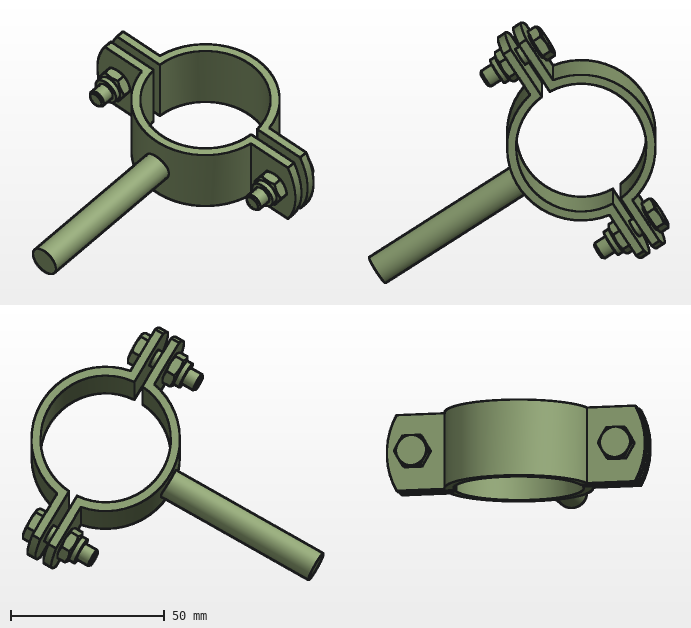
import cadquery as cq
import math

OVERALL_LENGTH = 103.2
CLAMP_WIDTH = 86.0
CLAMP_HEIGHT = 25.0

RING_OUTER_RADIUS = 24.1
STRAP_THICKNESS = 3.0
RING_INNER_RADIUS = RING_OUTER_RADIUS - STRAP_THICKNESS
EAR_GAP = 3.0
EAR_INNER_Y = EAR_GAP / 2
EAR_OUTER_Y = EAR_INNER_Y + STRAP_THICKNESS
EAR_TIP_X = CLAMP_WIDTH / 2
EAR_CORNER_X = 39.7

ROD_DIAMETER = 10.0
ROD_END_Y = RING_OUTER_RADIUS - OVERALL_LENGTH

BOLT_X = 34.0
BOLT_DIAMETER = 6.0
BOLT_TIP_DIAMETER = 5.0
BOLT_TIP_CHAMFER_LENGTH = 0.6
BOLT_PROTRUSION = 10.9
HEX_ACROSS_FLATS = 10.0
HEX_ACROSS_CORNERS = HEX_ACROSS_FLATS / math.cos(math.pi / 6)
HEAD_THICKNESS = 3.5
HEAD_WASHER_DIAMETER = 8.7
HEAD_WASHER_THICKNESS = 0.5

NUT_THICKNESS = 4.0
COLLAR_DIAMETER = 8.9
COLLAR_LENGTH = 2.0

CORNER_TRIM_DIAMETER = HEX_ACROSS_FLATS
CORNER_TRIM_ANGLE = 30.0


def rod_along_y(diameter, start_y, end_y):
    """Cylinder on the Y axis between two Y positions, start_y above end_y."""
    return (
        cq.Workplane("XZ", origin=(0, start_y, 0))
        .circle(diameter / 2)
        .extrude(start_y - end_y)
    )


def trim_corners(envelope, end_face, end_diameter):
    """Cone off one end of the round envelope that limits a hexagon."""
    radial_trim = (HEX_ACROSS_CORNERS - end_diameter) / 2
    axial_trim = radial_trim * math.tan(math.radians(CORNER_TRIM_ANGLE))
    return envelope.faces(end_face).chamfer(axial_trim, radial_trim)


def hexagon_along_y(start_y, end_y, lower_end_diameter=None):
    """Hexagonal prism on the Y axis, trimmed at its +Y end and optionally at its -Y end."""
    prism = (
        cq.Workplane("XZ", origin=(0, start_y, 0))
        .polygon(6, HEX_ACROSS_CORNERS)
        .extrude(start_y - end_y)
    )
    envelope = rod_along_y(HEX_ACROSS_CORNERS, start_y, end_y)
    envelope = trim_corners(envelope, ">Y", CORNER_TRIM_DIAMETER)
    if lower_end_diameter is not None:
        envelope = trim_corners(envelope, "<Y", lower_end_diameter)
    return prism.intersect(envelope)


def make_clamp_envelope():
    """Front outline of the clamp, with rounded ends and the two bolt holes."""
    half_height = CLAMP_HEIGHT / 2
    return (
        cq.Workplane("XZ", origin=(0, RING_OUTER_RADIUS, 0))
        .moveTo(-EAR_CORNER_X, -half_height)
        .lineTo(EAR_CORNER_X, -half_height)
        .threePointArc((EAR_TIP_X, 0), (EAR_CORNER_X, half_height))
        .lineTo(-EAR_CORNER_X, half_height)
        .threePointArc((-EAR_TIP_X, 0), (-EAR_CORNER_X, -half_height))
        .close()
        .pushPoints([(-BOLT_X, 0), (BOLT_X, 0)])
        .circle(BOLT_DIAMETER / 2)
        .extrude(RING_OUTER_RADIUS)
    )


def make_back_half():
    """Half ring with two ears, on the +Y side of the gap."""
    ear_strip = (
        cq.Workplane("XY")
        .box(CLAMP_WIDTH, STRAP_THICKNESS, CLAMP_HEIGHT)
        .translate((0, EAR_INNER_Y + STRAP_THICKNESS / 2, 0))
    )
    bottom = cq.Workplane("XY", origin=(0, 0, -CLAMP_HEIGHT / 2))
    disc = bottom.circle(RING_OUTER_RADIUS).extrude(CLAMP_HEIGHT)
    bore = bottom.circle(RING_INNER_RADIUS).extrude(CLAMP_HEIGHT)
    beyond_gap = (
        cq.Workplane("XY")
        .box(CLAMP_WIDTH, RING_OUTER_RADIUS, CLAMP_HEIGHT)
        .translate((0, EAR_INNER_Y + RING_OUTER_RADIUS / 2, 0))
    )
    half = disc.intersect(beyond_gap).union(ear_strip).cut(bore)
    return half.intersect(make_clamp_envelope())


def make_front_half(back):
    """Mirrored half clamp with the rod joined to the outside of its ring."""
    rod = rod_along_y(ROD_DIAMETER, -RING_INNER_RADIUS, ROD_END_Y)
    bore = cq.Workplane("XY").circle(RING_INNER_RADIUS).extrude(CLAMP_HEIGHT / 2, both=True)
    return back.mirror("XZ").union(rod.cut(bore))


def make_bolt(x):
    """Hex bolt with a thin washer face under its head and a chamfered tip."""
    head_base_y = EAR_OUTER_Y + HEAD_WASHER_THICKNESS
    shank = rod_along_y(BOLT_DIAMETER, head_base_y, -EAR_OUTER_Y - BOLT_PROTRUSION)
    tip_radial_chamfer = (BOLT_DIAMETER - BOLT_TIP_DIAMETER) / 2
    shank = shank.faces("<Y").chamfer(BOLT_TIP_CHAMFER_LENGTH, tip_radial_chamfer)
    washer_face = rod_along_y(HEAD_WASHER_DIAMETER, head_base_y, EAR_OUTER_Y)
    head = hexagon_along_y(head_base_y + HEAD_THICKNESS, head_base_y)
    return head.union(washer_face).union(shank).translate((x, 0, 0))


def make_nut(x):
    """Hex nut trimmed at both ends, with a collar and a bore that fits the bolt."""
    nut_end_y = -EAR_OUTER_Y - NUT_THICKNESS
    collar_end_y = nut_end_y - COLLAR_LENGTH
    hexagon = hexagon_along_y(-EAR_OUTER_Y, nut_end_y, COLLAR_DIAMETER)
    collar = rod_along_y(COLLAR_DIAMETER, nut_end_y, collar_end_y)
    bore = rod_along_y(BOLT_DIAMETER, -EAR_OUTER_Y, collar_end_y)
    return hexagon.union(collar).cut(bore).translate((x, 0, 0))


back_half = make_back_half()
front_half = make_front_half(back_half)

fasteners = []
for bolt_x in (-BOLT_X, BOLT_X):
    fasteners.append(make_bolt(bolt_x).val())
    fasteners.append(make_nut(bolt_x).val())

result = cq.Compound.makeCompound([back_half.val(), front_half.val(), *fasteners])